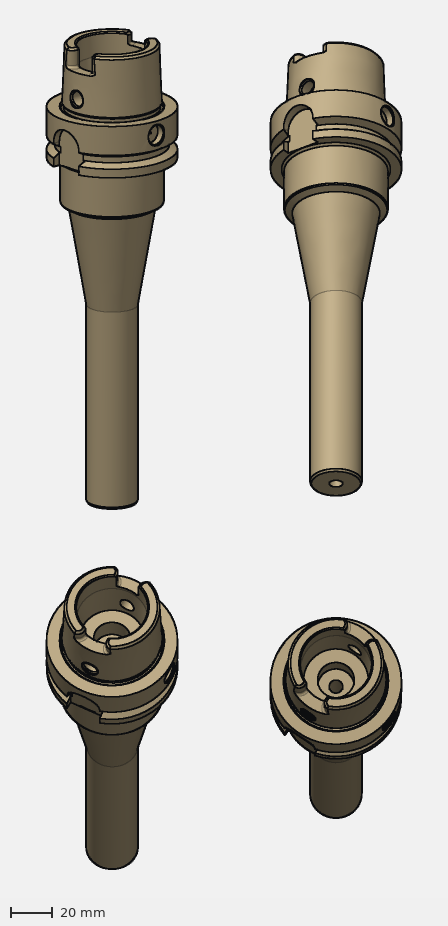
import cadquery as cq


overall_length = 232

shank_height = 32.0
shank_top_radius = 23.0
shank_base_radius = 24.1
rim_chamfer = 1.2
relief_height = 2.0
relief_depth = 0.7
relief_entry = 1.0
face_recess_radius = 25.3
face_recess_depth = 0.7

flange_radius = 31.5
flange_height = 26.0
groove_floor_radius = 27.5
groove_center = -18.0
groove_mouth_height = 7.0
groove_floor_height = 3.0

body_radius = 25.0
body_end = -48.5
body_end_chamfer = 0.7
body_end_chamfer_width = 0.5
body_flare = 1.2
neck_start = -50.3
neck_radius = 21.0
stem_start = -100.0
stem_radius = 12.5
stem_end = shank_height - overall_length
stem_chamfer = 1.2
stem_chamfer_width = 0.7

bore_radius = 17.2
bore_chamfer = 0.7
bore_straight_depth = 11.8
bore_end_radius = 15.5
bore_depth = 30.1
tube_bore_radius = 8.8
tube_bore_depth = 11.5
coolant_radius = 3.2

drive_half_width = 6.0
drive_corner_radius = 3.7
drive_corner_start = 17.2
drive_floor_round = 1.5
drive_edge_chamfer = 1.2
front_drive_depth = 10.0
rear_drive_depth = 6.0

clamp_hole_radius = 3.7
clamp_hole_height = shank_height - 23.2
clamp_hole_mouth_radius = 4.5
clamp_hole_mouth = 23.2
clamp_hole_chamfer = clamp_hole_mouth_radius - clamp_hole_radius

key_half_width = 8.8
key_floor = 26.5
key_arch_center = -14.0
pocket_radius = 5.3
pocket_height = -7.2
pocket_floor = 27.0
pocket_chamfer = 0.5
pocket_mouth = 31.0
pin_hole_radius = 0.5
pin_hole_floor = 26.0


def turned_body():
    """Solid of revolution with the outer form of the tool."""
    mouth_top = groove_center + groove_mouth_height / 2
    mouth_bottom = groove_center - groove_mouth_height / 2
    floor_top = groove_center + groove_floor_height / 2
    floor_bottom = groove_center - groove_floor_height / 2
    outline = [
        (0, shank_height),
        (shank_top_radius - rim_chamfer, shank_height),
        (shank_top_radius, shank_height - rim_chamfer),
        (shank_base_radius, relief_height),
        (shank_base_radius - relief_depth, relief_height - relief_entry),
        (shank_base_radius - relief_depth, -face_recess_depth),
        (face_recess_radius - face_recess_depth, -face_recess_depth),
        (face_recess_radius, 0),
        (flange_radius, 0),
        (flange_radius, mouth_top),
        (groove_floor_radius, floor_top),
        (groove_floor_radius, floor_bottom),
        (flange_radius, mouth_bottom),
        (flange_radius, -flange_height),
        (body_radius + body_flare, -flange_height),
        (body_radius, -flange_height - body_flare),
        (body_radius, body_end + body_end_chamfer),
        (body_radius - body_end_chamfer_width, body_end),
        (neck_radius, neck_start),
        (stem_radius, stem_start),
        (stem_radius, stem_end + stem_chamfer),
        (stem_radius - stem_chamfer_width, stem_end),
        (0, stem_end),
    ]
    return cq.Workplane("XZ").polyline(outline).close().revolve(360, (0, 0), (0, 1))


def central_bore():
    """Shank bore, coolant tube bore and through coolant passage."""
    bore_floor = shank_height - bore_depth
    tube_floor = bore_floor - tube_bore_depth
    outline = [
        (0, shank_height),
        (bore_radius + bore_chamfer, shank_height),
        (bore_radius, shank_height - bore_chamfer),
        (bore_radius, shank_height - bore_straight_depth),
        (bore_end_radius, bore_floor),
        (tube_bore_radius, bore_floor),
        (tube_bore_radius, tube_floor),
        (coolant_radius, tube_floor),
        (coolant_radius, stem_end),
        (0, stem_end),
    ]
    return cq.Workplane("XZ").polyline(outline).close().revolve(360, (0, 0), (0, 1))


def drive_slot_outline(side, height, widening):
    """Plan of a rim slot towards side * Y, its walls rounding outwards into flares."""
    half_width = drive_half_width + widening
    flare_half_width = drive_half_width + drive_corner_radius
    flare_start = side * drive_corner_start
    flare_end = side * (drive_corner_start + drive_corner_radius - widening)
    outer = side * flange_radius
    return (
        cq.Workplane("XY", origin=(0, 0, height))
        .moveTo(-half_width, 0)
        .lineTo(half_width, 0)
        .lineTo(half_width, flare_start)
        .tangentArcPoint((flare_half_width, flare_end), relative=False)
        .lineTo(flange_radius, flare_end)
        .lineTo(flange_radius, outer)
        .lineTo(-flange_radius, outer)
        .lineTo(-flange_radius, flare_end)
        .lineTo(-flare_half_width, flare_end)
        .tangentArcPoint((-half_width, flare_start), relative=False)
        .close()
    )


def drive_slot(side, depth):
    """Rim slot with a rounded floor edge and a chamfered upper edge."""
    slot = drive_slot_outline(side, shank_height - depth, 0).extrude(depth)
    slot = slot.faces("<Z").edges().fillet(drive_floor_round)
    chamfer = drive_slot_outline(side, shank_height, drive_edge_chamfer)
    chamfer = chamfer.extrude(-drive_edge_chamfer, taper=45)
    return slot.union(chamfer)


def clamp_hole():
    """Cross hole along Y, countersunk where it meets the shank on both sides."""
    outline = [
        (0, -flange_radius),
        (clamp_hole_mouth_radius, -flange_radius),
        (clamp_hole_mouth_radius, -clamp_hole_mouth),
        (clamp_hole_radius, clamp_hole_chamfer - clamp_hole_mouth),
        (clamp_hole_radius, clamp_hole_mouth - clamp_hole_chamfer),
        (clamp_hole_mouth_radius, clamp_hole_mouth),
        (clamp_hole_mouth_radius, flange_radius),
        (0, flange_radius),
    ]
    hole = cq.Workplane("XY").polyline(outline).close().revolve(360, (0, 0), (0, 1))
    return hole.translate((0, 0, clamp_hole_height))


def key_slot(side):
    """Arched flat-floored slot towards side * Y, open at the flange underside."""
    slot = (
        cq.Workplane("XZ", origin=(0, side * key_floor, 0))
        .moveTo(-key_half_width, -flange_height)
        .lineTo(key_half_width, -flange_height)
        .lineTo(key_half_width, key_arch_center)
        .threePointArc((0, key_arch_center + key_half_width), (-key_half_width, key_arch_center))
        .close()
    )
    return slot.extrude(-side * (flange_radius - key_floor))


def flange_pocket(side):
    """Flat pocket towards side * X with a chamfered mouth and a pin hole in its floor."""
    outline = [
        (side * pin_hole_floor, 0),
        (side * pin_hole_floor, pin_hole_radius),
        (side * pocket_floor, pin_hole_radius),
        (side * pocket_floor, pocket_radius - pocket_chamfer),
        (side * (pocket_mouth - pocket_chamfer), pocket_radius - pocket_chamfer),
        (side * pocket_mouth, pocket_radius),
        (side * flange_radius, pocket_radius),
        (side * flange_radius, 0),
    ]
    pocket = cq.Workplane("XY").polyline(outline).close().revolve(360, (0, 0), (1, 0))
    return pocket.translate((0, 0, pocket_height))


result = turned_body().cut(central_bore()).cut(clamp_hole())
result = result.cut(drive_slot(-1, front_drive_depth)).cut(drive_slot(1, rear_drive_depth))
for side in (-1, 1):
    result = result.cut(key_slot(side)).cut(flange_pocket(side))